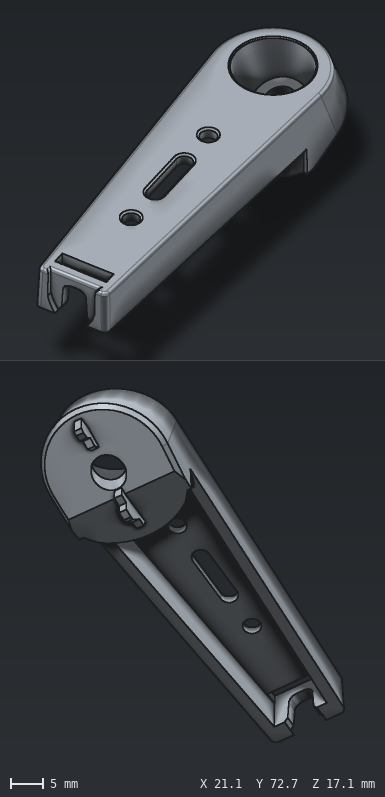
import cadquery as cq
import math


LENGTH = 72.65
HEAD_TILT = 20.5
TILT = math.radians(HEAD_TILT)
HEAD_AXIS = (0, -math.sin(TILT), math.cos(TILT))
BODY_DRAFT = 3.1
SIDE_ANGLE = 2.7
HEAD_RADIUS = 10.6
RIM_Z = -7.1
RIM_CHAMFER = 0.8
OUTLINE_REACH = 66.8
DRAFT_HEIGHT = 37.8
TOP_ROUND = 0.6

TIP_SET_BACK = 0.3
TIP_BOTTOM_Z = -7.8
ARM_BOTTOM_Z = -8.3
HEAD_BOTTOM_Z = -13.3
HEAD_STEP_Y = 54.1
TIP_ROUND = 1.0

DRUM_FRONT_Y = 49.5
DRUM_EDGE_Y = 52.3
DRUM_EDGE_X = 8.0
DRUM_BACK_X = 10.25
DRUM_BACK_Y = 55.2

PLATE = 1.95
CHANNEL_START_Y = 3.0
CHANNEL_TIP_X = 4.7

RECESS_DEPTH = 1.1
RECESS_X = 4.3
RECESS_CURVE_Z = -4.9
RECESS_CURVE_BULGE = 0.4
NOTCH_TOP_X = 2.0
NOTCH_BOTTOM_X = 2.3
NOTCH_FLARE_X = 2.9
NOTCH_FLARE = 0.7
NOTCH_ROUND = 1.45

HOLE_RADIUS = 1.45
HOLE_CHAMFER = 0.35
HOLE_YS = (18.0, 41.05)
SLOT_Y = 29.5
SLOT_LENGTH = 11.6
WINDOW_WIDTH = 9.4
WINDOW_LENGTH = 2.2

CUP_Y = 60.3
CUP_RADIUS = 6.75
CUP_FLOOR_RADIUS = 4.65
CUP_DEPTH = 9.15
CUP_CHAMFER = 0.2
BORE_Y = 62.3
BORE_RADIUS = 2.75

KEY_THICKNESS = 1.3
KEY_ROOT_Z = -9.1
BACK_KEY = [
    (71.9, KEY_ROOT_Z), (71.9, -11.55), (71.3, -12.05), (70.2, -12.05),
    (69.15, -11.0), (67.8, -11.55), (66.55, -10.45), (66.55, KEY_ROOT_Z),
]
FRONT_KEY = [
    (59.5, KEY_ROOT_Z), (59.5, -14.75), (58.0, -15.05), (58.0, -16.7), (56.6, -17.1),
    (55.9, -17.0), (54.0, -14.75), (52.6, -14.8), (51.95, -13.3), (51.95, KEY_ROOT_Z),
]


def side_plate(outline, thickness):
    """Flat plate from a list of (y, z) points, centred on x = 0."""
    return cq.Workplane("YZ").polyline(outline).close().extrude(thickness / 2, both=True)


def tapered_body():
    """Drafted teardrop extruded up the tilted head axis, with its lower rim chamfered."""
    side = math.radians(SIDE_ANGLE)
    rim_radius = HEAD_RADIUS - RIM_CHAMFER * math.tan(math.radians(BODY_DRAFT))
    centre_y = LENGTH - rim_radius * math.cos(TILT)
    centre_z = RIM_Z - rim_radius * math.sin(TILT)
    base = cq.Plane(origin=(0, centre_y, centre_z), xDir=(1, 0, 0), normal=HEAD_AXIS)
    tangent_x = HEAD_RADIUS * math.cos(side)
    tangent_y = -HEAD_RADIUS * math.sin(side)
    end_x = tangent_x - (OUTLINE_REACH + tangent_y) * math.tan(side)
    return (
        cq.Workplane(base)
        .workplane(offset=-RIM_CHAMFER)
        .moveTo(-end_x, -OUTLINE_REACH)
        .lineTo(end_x, -OUTLINE_REACH)
        .lineTo(tangent_x, tangent_y)
        .threePointArc((0, HEAD_RADIUS), (-tangent_x, tangent_y))
        .close()
        .extrude(DRAFT_HEIGHT, taper=BODY_DRAFT)
        .faces(cq.selectors.DirectionMinMaxSelector(cq.Vector(*HEAD_AXIS), False))
        .chamfer(RIM_CHAMFER)
    )


def side_profile():
    """Wide plate that trims the body to its flat top, stepped underside and tip face."""
    outline = [
        (TIP_SET_BACK, 0), (0, TIP_BOTTOM_Z), (HEAD_STEP_Y, ARM_BOTTOM_Z), (HEAD_STEP_Y, HEAD_BOTTOM_Z),
        (LENGTH, HEAD_BOTTOM_Z), (LENGTH, 0),
    ]
    return side_plate(outline, 4 * HEAD_RADIUS)


def drum():
    """Head wall that closes the channel and bulges towards the tip."""
    return (
        cq.Workplane("XY", origin=(0, 0, HEAD_BOTTOM_Z))
        .moveTo(-DRUM_EDGE_X, DRUM_EDGE_Y)
        .threePointArc((0, DRUM_FRONT_Y), (DRUM_EDGE_X, DRUM_EDGE_Y))
        .lineTo(DRUM_BACK_X, DRUM_BACK_Y)
        .lineTo(-DRUM_BACK_X, DRUM_BACK_Y)
        .close()
        .extrude(-PLATE - HEAD_BOTTOM_Z)
    )


def channel():
    """Hollow under the arm, open below and ending at the drum wall."""
    return (
        cq.Workplane("XY", origin=(0, 0, -PLATE))
        .moveTo(-CHANNEL_TIP_X, CHANNEL_START_Y)
        .lineTo(CHANNEL_TIP_X, CHANNEL_START_Y)
        .lineTo(DRUM_EDGE_X, DRUM_EDGE_Y)
        .threePointArc((0, DRUM_FRONT_Y), (-DRUM_EDGE_X, DRUM_EDGE_Y))
        .close()
        .extrude(HEAD_BOTTOM_Z)
    )


def tip_recess():
    """Shallow recess in the tip face whose sides curve inwards at the bottom."""
    curve_mid_x = RECESS_X - RECESS_CURVE_BULGE * (RECESS_X - NOTCH_FLARE_X)
    curve_mid_z = (RECESS_CURVE_Z + TIP_BOTTOM_Z) / 2
    return (
        cq.Workplane("XZ", origin=(0, RECESS_DEPTH, 0))
        .moveTo(-RECESS_X, 0)
        .lineTo(RECESS_X, 0)
        .lineTo(RECESS_X, RECESS_CURVE_Z)
        .threePointArc((curve_mid_x, curve_mid_z), (NOTCH_FLARE_X, TIP_BOTTOM_Z))
        .lineTo(-NOTCH_FLARE_X, TIP_BOTTOM_Z)
        .threePointArc((-curve_mid_x, curve_mid_z), (-RECESS_X, RECESS_CURVE_Z))
        .close()
        .extrude(2 * RECESS_DEPTH)
    )


def cable_notch():
    """Round-topped notch through the tip wall, flared at its mouth."""
    flare_z = TIP_BOTTOM_Z + NOTCH_FLARE
    return (
        cq.Workplane("XZ", origin=(0, CHANNEL_START_Y, 0))
        .moveTo(-NOTCH_TOP_X, -PLATE)
        .lineTo(NOTCH_TOP_X, -PLATE)
        .lineTo(NOTCH_BOTTOM_X, flare_z)
        .lineTo(NOTCH_FLARE_X, TIP_BOTTOM_Z)
        .lineTo(NOTCH_FLARE_X, ARM_BOTTOM_Z)
        .lineTo(-NOTCH_FLARE_X, ARM_BOTTOM_Z)
        .lineTo(-NOTCH_FLARE_X, TIP_BOTTOM_Z)
        .lineTo(-NOTCH_BOTTOM_X, flare_z)
        .close()
        .extrude(2 * CHANNEL_START_Y)
        .edges("|Y and >Z")
        .fillet(NOTCH_ROUND)
    )


def chamfered_slot(y, length):
    """Slot along Y through the top plate; a length equal to its width makes a round hole."""
    def prism(radius, depth, taper=0):
        straight = length - 2 * HOLE_RADIUS
        plane = cq.Workplane("XY").center(0, y)
        if straight > 0:
            sketch = plane.slot2D(straight + 2 * radius, 2 * radius, 90)
        else:
            sketch = plane.circle(radius)
        return sketch.extrude(-depth, taper=taper)

    return prism(HOLE_RADIUS, 2 * PLATE).union(prism(HOLE_RADIUS + HOLE_CHAMFER, HOLE_CHAMFER, 45))


def window():
    """Rectangular opening through the plate just behind the tip wall."""
    centre_y = CHANNEL_START_Y + WINDOW_LENGTH / 2
    return cq.Workplane("XY").center(0, centre_y).rect(WINDOW_WIDTH, WINDOW_LENGTH).extrude(-2 * PLATE)


def head_cup():
    """Leaning tapered cup with a floor square to the head axis, and a straight bore through its floor."""
    floor_plane = cq.Plane(origin=(0, BORE_Y, -CUP_DEPTH), xDir=(1, 0, 0), normal=HEAD_AXIS)
    floor = cq.Workplane(floor_plane).circle(CUP_FLOOR_RADIUS).wires().val()
    rim = cq.Workplane("XY").center(0, CUP_Y).circle(CUP_RADIUS).wires().val()
    cup = cq.Workplane(cq.Solid.makeLoft([rim, floor], True))
    lead_in_plane = cq.Workplane("XY").center(0, CUP_Y)
    lead_in = lead_in_plane.circle(CUP_RADIUS + CUP_CHAMFER).extrude(-CUP_CHAMFER, taper=45)
    bore = cq.Workplane("XY").center(0, BORE_Y).circle(BORE_RADIUS).extrude(2 * HEAD_BOTTOM_Z)
    return cup.union(lead_in).union(bore)


teardrop = tapered_body()
body = teardrop.intersect(side_profile())
body = body.faces("<Y").edges("not |X").fillet(TIP_ROUND)
body = body.cut(tip_recess()).faces(">Z").edges().fillet(TOP_ROUND)
body = body.union(drum().intersect(teardrop)).cut(channel()).cut(cable_notch())

for hole_y in HOLE_YS:
    body = body.cut(chamfered_slot(hole_y, 2 * HOLE_RADIUS))
body = body.cut(chamfered_slot(SLOT_Y, SLOT_LENGTH)).cut(window())

for key in (BACK_KEY, FRONT_KEY):
    body = body.union(side_plate(key, KEY_THICKNESS))
result = body.cut(head_cup())